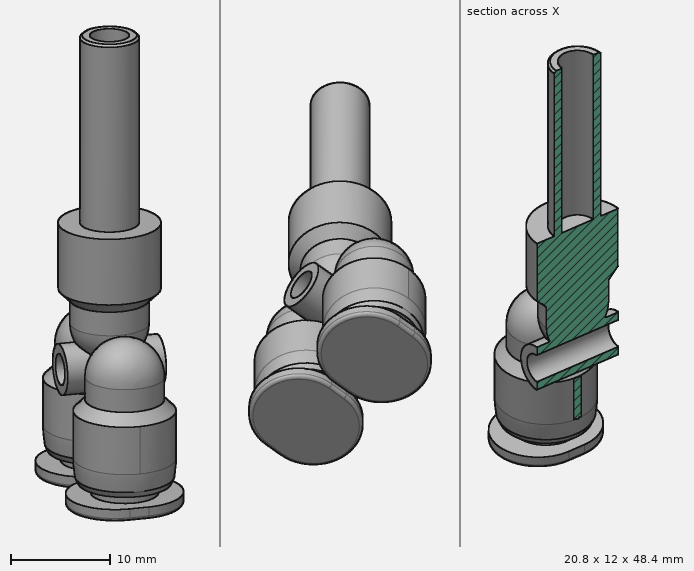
import cadquery as cq
import math

total_height = 48.4
body_diameter = 10.4
body_radius = body_diameter / 2
leg_offset = body_radius
neck_radius = 4.0
shoulder_height = body_radius - neck_radius

tube_radius = 3.0
tube_bore_radius = 2.0
tube_chamfer = 0.25
collar_top = 28.4
collar_bottom = 21.4
stem_dome_center = 17.7

flange_thickness = 1.3
flange_length = 12.0
flange_width = 10.0
flange_edge_radius = 0.4
sleeve_radius = 3.45
body_bottom = 2.4
body_end_radius = 4.75
lip_top = 3.05
lip_radius = 5.05
taper_top = 5.05
body_top = 10.05
leg_dome_center = 13.7

eyelet_height = 13.2
eyelet_radius = 2.6
eyelet_hole_radius = 1.6
stem_seam_angle = 45.0

web_bottom = taper_top
web_top = body_top
web_length = 1.95
web_thickness = 0.95


def make_stem():
    """Revolve the domed neck, collar and tube, then bore the tube down to the collar."""
    shoulder_bottom = collar_bottom - shoulder_height
    dome_mid = neck_radius * math.sqrt(0.5)
    profile = (
        cq.Workplane("XZ")
        .moveTo(0, stem_dome_center - neck_radius)
        .threePointArc((dome_mid, stem_dome_center - dome_mid), (neck_radius, stem_dome_center))
        .lineTo(neck_radius, shoulder_bottom)
        .lineTo(body_radius, collar_bottom)
        .lineTo(body_radius, collar_top)
        .lineTo(tube_radius, collar_top)
        .lineTo(tube_radius, total_height - tube_chamfer)
        .lineTo(tube_radius - tube_chamfer, total_height)
        .lineTo(0, total_height)
        .close()
    )
    stem = profile.revolve(360, (0, 0, 0), (0, 1, 0))
    bore = (
        cq.Workplane("XY", origin=(0, 0, collar_top))
        .circle(tube_bore_radius)
        .extrude(total_height - collar_top)
    )
    return stem.cut(bore).rotate((0, 0, 0), (0, 0, 1), stem_seam_angle)


def make_leg():
    """Build one leg on the Z axis: oblong flange, sleeve, tapered body and domed neck."""
    taper_middle = (body_radius - (body_radius - lip_radius) / 4, (lip_top + taper_top) / 2)
    dome_mid = neck_radius * math.sqrt(0.5)
    profile = (
        cq.Workplane("XZ")
        .moveTo(0, flange_thickness / 2)
        .lineTo(sleeve_radius, flange_thickness / 2)
        .lineTo(sleeve_radius, body_bottom)
        .lineTo(body_end_radius, body_bottom)
        .lineTo(lip_radius, lip_top)
        .threePointArc(taper_middle, (body_radius, taper_top))
        .lineTo(body_radius, body_top)
        .lineTo(neck_radius, body_top + shoulder_height)
        .lineTo(neck_radius, leg_dome_center)
        .threePointArc((dome_mid, leg_dome_center + dome_mid), (0, leg_dome_center + neck_radius))
        .close()
    )
    leg = profile.revolve(360, (0, 0, 0), (0, 1, 0))
    flange = (
        cq.Workplane("XY")
        .slot2D(flange_length, flange_width, 90)
        .extrude(flange_thickness)
        .faces("<Z")
        .edges()
        .fillet(flange_edge_radius)
    )
    return leg.union(flange)


def make_web():
    """Build the narrow upright web between the legs."""
    return (
        cq.Workplane("XY", origin=(0, 0, web_bottom))
        .rect(web_length, web_thickness)
        .extrude(web_top - web_bottom)
    )


def eyelet_cylinder(radius):
    """Build a cylinder on the eyelet axis, as long as the body is wide."""
    return (
        cq.Workplane("XZ", origin=(0, 0, eyelet_height))
        .circle(radius)
        .extrude(body_radius, both=True)
    )


right_leg = make_leg().translate((leg_offset, 0, 0))
left_leg = right_leg.rotate((0, 0, 0), (0, 0, 1), 180)
eyelet = eyelet_cylinder(eyelet_radius)
eyelet_hole = eyelet_cylinder(eyelet_hole_radius)

result = eyelet.cut(eyelet_hole)
for piece in (make_stem(), make_web(), left_leg, right_leg):
    result = result.union(piece.cut(eyelet_hole))